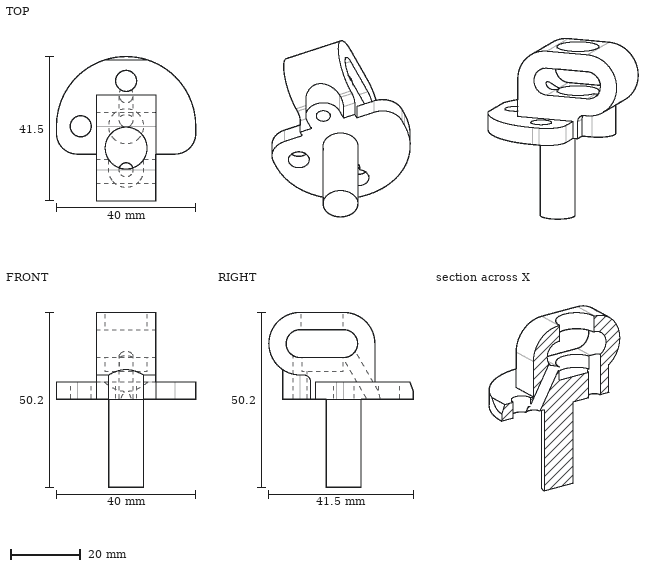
import cadquery as cq
import math

PLATE_RADIUS = 20.005
PLATE_THICKNESS = 5.0
PLATE_FRONT = -8.05
PLATE_CORNER_RADIUS = 6.0
BEVEL_DEPTH = 1.0
BEVEL_HEIGHT = 2.7

MOUNT_HOLE_DIAMETER = 5.95
MOUNT_HOLE_OFFSET = 13.0

TOTAL_HEIGHT = 50.2
LOOP_TOP = 25.0
LOOP_WIDTH = 17.05
LOOP_RADIUS = 9.0
LOOP_SPACING = 12.5
SLOT_RADIUS = 3.95
BLOCK_FRONT = -9.5
UNDERCUT_RADIUS = 2.0

PIN_RADIUS = 5.0
BOSS_HOLE_RADIUS = 2.0
POCKET_RADIUS = 6.0
POCKET_DEPTH = 4.0

CHANNEL_RADIUS = 2.0
CHANNEL_TILT = 30.0
CHANNEL_EXIT_Y = LOOP_RADIUS

loop_z = LOOP_TOP - LOOP_RADIUS
loop_bottom = loop_z - LOOP_RADIUS
slot_floor = loop_z - SLOT_RADIUS
boss_y = -LOOP_SPACING
loop_middle_y = boss_y / 2
pin_length = TOTAL_HEIGHT - LOOP_TOP


def cylinder(radius, x, y, bottom, top):
    """Vertical cylinder between two heights."""
    return cq.Workplane("XY", origin=(x, y, bottom)).circle(radius).extrude(top - bottom)


def make_plate():
    """D-shaped plate with a bevelled back edge and two mounting holes."""
    plate = (
        cq.Workplane("XY")
        .moveTo(-PLATE_RADIUS, PLATE_FRONT)
        .lineTo(PLATE_RADIUS, PLATE_FRONT)
        .lineTo(PLATE_RADIUS, 0)
        .threePointArc((0, PLATE_RADIUS), (-PLATE_RADIUS, 0))
        .close()
        .extrude(PLATE_THICKNESS)
    )
    plate = plate.edges("|Z and <Y").fillet(PLATE_CORNER_RADIUS)
    bevel = (
        cq.Workplane("YZ")
        .moveTo(PLATE_RADIUS, PLATE_THICKNESS)
        .lineTo(PLATE_RADIUS - BEVEL_DEPTH, PLATE_THICKNESS)
        .lineTo(PLATE_RADIUS, PLATE_THICKNESS - BEVEL_HEIGHT)
        .close()
        .extrude(PLATE_RADIUS, both=True)
    )
    plate = plate.cut(bevel)
    for x, y in [(0, MOUNT_HOLE_OFFSET), (-MOUNT_HOLE_OFFSET, 0)]:
        plate = plate.cut(cylinder(MOUNT_HOLE_DIAMETER / 2, x, y, 0, PLATE_THICKNESS))
    return plate


def make_loop():
    """Block carrying a rounded loop that overhangs the front of the plate."""
    return (
        cq.Workplane("YZ")
        .moveTo(LOOP_RADIUS, 0)
        .lineTo(LOOP_RADIUS, loop_z)
        .radiusArc((0, LOOP_TOP), -LOOP_RADIUS)
        .lineTo(boss_y, LOOP_TOP)
        .threePointArc((boss_y - LOOP_RADIUS, loop_z), (boss_y, loop_bottom))
        .lineTo(BLOCK_FRONT - UNDERCUT_RADIUS, loop_bottom)
        .radiusArc((BLOCK_FRONT, loop_bottom - UNDERCUT_RADIUS), UNDERCUT_RADIUS)
        .lineTo(BLOCK_FRONT, 0)
        .close()
        .extrude(LOOP_WIDTH / 2, both=True)
    )


def make_boss():
    """Round-nosed boss joining the underside of the loop to the block."""
    nose = cylinder(PIN_RADIUS, 0, boss_y, 0, loop_z)
    web_length = BLOCK_FRONT - boss_y
    web = (
        cq.Workplane("XY", origin=(0, boss_y + web_length / 2, 0))
        .rect(2 * PIN_RADIUS, web_length)
        .extrude(loop_z)
    )
    return nose.union(web)


def make_slot():
    """Obround opening running through the loop along X."""
    return (
        cq.Workplane("YZ", origin=(0, loop_middle_y, loop_z))
        .slot2D(LOOP_SPACING + 2 * SLOT_RADIUS, 2 * SLOT_RADIUS)
        .extrude(LOOP_WIDTH / 2, both=True)
    )


def make_channel():
    """Slanted round channel from the slot floor to the underside of the plate."""
    tilt = math.radians(CHANNEL_TILT)
    upward = cq.Vector(0, -math.sin(tilt), math.cos(tilt))
    exit_point = cq.Vector(0, CHANNEL_EXIT_Y, 0)
    overrun = CHANNEL_RADIUS
    start = exit_point - upward * overrun
    length = loop_z / math.cos(tilt) + overrun
    return cq.Workplane(cq.Solid.makeCylinder(CHANNEL_RADIUS, length, start, upward))


pin = cylinder(PIN_RADIUS, 0, 0, -pin_length, 0)
pocket = cylinder(POCKET_RADIUS, 0, loop_middle_y, slot_floor - POCKET_DEPTH, LOOP_TOP)
boss_hole = cylinder(BOSS_HOLE_RADIUS, 0, boss_y, 0, loop_z)

result = make_plate().union(make_loop()).union(make_boss()).union(pin)
result = result.cut(make_slot()).cut(pocket).cut(boss_hole).cut(make_channel())